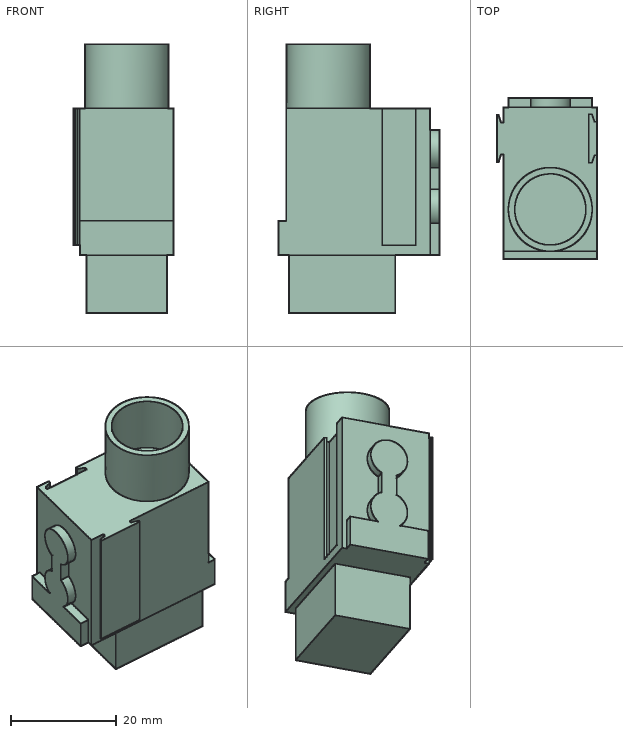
import cadquery as cq

BODY_WIDTH = 17.8
BODY_DEPTH = 27.3
BODY_HEIGHT = 27.8

LIP_DEPTH = 1.5
LIP_HEIGHT = 6.5

PLUG_WIDTH = 15.3
PLUG_DEPTH = 20.2
PLUG_HEIGHT = 11.0
PLUG_SETBACK = 0.5

TUBE_DIAMETER = 15.9
TUBE_BORE = 13.5
TUBE_HEIGHT = 12.2

RAIL_HEAD = 9.0
RAIL_NECK = 6.1
RAIL_DEPTH = 1.25
RAIL_NECK_DEPTH = 0.45
RAIL_RIM = 0.35
GROOVE_HEAD = 9.2
GROOVE_NECK = 6.3
GROOVE_DEPTH = 1.6
GROOVE_NECK_DEPTH = 0.5
GROOVE_RIM = 0.6
DOVETAIL_SETBACK = 5.9
DOVETAIL_Y = BODY_DEPTH - DOVETAIL_SETBACK
DOVETAIL_BOTTOM = 1.9

PAD_THICKNESS = 1.8
FOOT_WIDTH = 15.9
FOOT_HEIGHT = 6.0
LOBE_RADIUS = 3.75
LOWER_LOBE_Z = 9.0
UPPER_LOBE_Z = 20.0
WEB_WIDTH = 3.0


def block(width, depth, height, front, bottom):
    """Box centred on X, from its front Y and its bottom Z."""
    box = cq.Workplane("XY").box(width, depth, height, centered=(True, False, False))
    return box.translate((0, front, bottom))


def dovetail(root_x, head, neck, depth, neck_depth, rim):
    """Upright dovetail prism, narrow at root_x and widening toward -X."""
    neck_end = root_x - neck_depth
    rim_start = root_x - (depth - rim)
    head_face = root_x - depth
    half_outline = [
        (root_x, neck / 2),
        (neck_end, neck / 2),
        (rim_start, head / 2),
        (head_face, head / 2),
    ]
    mirrored_half = [(x, -y) for x, y in reversed(half_outline)]
    prism = cq.Workplane("XY").polyline(half_outline + mirrored_half).close()
    prism = prism.extrude(BODY_HEIGHT - DOVETAIL_BOTTOM)
    return prism.translate((0, DOVETAIL_Y, DOVETAIL_BOTTOM))


def tube():
    """Round tube standing on the body; the bore ends at the body's top face."""
    base = cq.Workplane("XY").workplane(offset=BODY_HEIGHT).center(0, TUBE_DIAMETER / 2)
    return base.circle(TUBE_DIAMETER / 2).circle(TUBE_BORE / 2).extrude(TUBE_HEIGHT)


def back_pad():
    """Pad of even thickness on the back face."""
    foot = block(FOOT_WIDTH, PAD_THICKNESS, FOOT_HEIGHT, BODY_DEPTH, 0)
    web = block(WEB_WIDTH, PAD_THICKNESS, UPPER_LOBE_Z - LOWER_LOBE_Z, BODY_DEPTH, LOWER_LOBE_Z)
    pad = foot.union(web)
    back_face = cq.Workplane("XZ", origin=(0, BODY_DEPTH, 0))
    for lobe_z in (LOWER_LOBE_Z, UPPER_LOBE_Z):
        lobe = back_face.center(0, lobe_z).circle(LOBE_RADIUS).extrude(-PAD_THICKNESS)
        pad = pad.union(lobe)
    return pad


body = block(BODY_WIDTH, BODY_DEPTH, BODY_HEIGHT, 0, 0)
lip = block(BODY_WIDTH, LIP_DEPTH, LIP_HEIGHT, -LIP_DEPTH, 0)
plug = block(PLUG_WIDTH, PLUG_DEPTH, PLUG_HEIGHT, PLUG_SETBACK, -PLUG_HEIGHT)
rail = dovetail(-BODY_WIDTH / 2, RAIL_HEAD, RAIL_NECK, RAIL_DEPTH, RAIL_NECK_DEPTH, RAIL_RIM)
groove = dovetail(BODY_WIDTH / 2, GROOVE_HEAD, GROOVE_NECK, GROOVE_DEPTH, GROOVE_NECK_DEPTH, GROOVE_RIM)

result = body.union(lip).union(plug).union(tube()).union(rail).union(back_pad()).cut(groove)